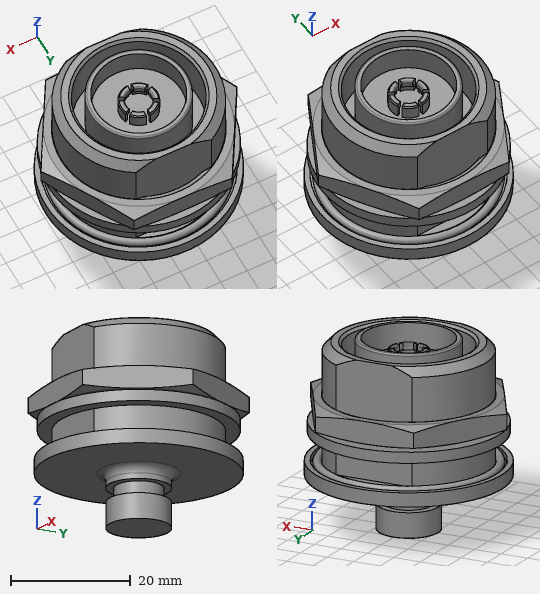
import cadquery as cq
import math


flange_diameter = 35.0
flange_height = 2.5
seal_groove_radius = 16.48
seal_groove_depth = 0.95
seal_ring_radius = 15.35
seal_tube_radius = 0.75
seal_projection = 0.45

barrel_radius = 14.52
barrel_top = 23.3
barrel_chamfer = 1.48
barrel_half_flats = 12.65
bore_radius = 11.27
bore_chamfer = 0.48
bore_floor = 15.15

sleeve_radius = 8.98
sleeve_top = 24.0
sleeve_bore_radius = 8.0
sleeve_floor = 19.62
sleeve_fillet = 0.3

contact_radius = 3.5
contact_top = 22.17
contact_bore_radius = 2.95
contact_lip_radius = 2.4
contact_lip_bottom = 21.05
contact_lip_fillet = 0.22
contact_chamfer = 0.22
slot_width = 0.75
slot_count = 3

stem_radius = 5.5
stem_fillet = 1.5
stem_length = 9.5
stem_groove_radius = 4.2
stem_groove_top = -2.5
stem_groove_bottom = -5.0

washer_radius = 17.0
washer_bottom = 7.55
washer_height = 1.95

nut_corners = 36.95
nut_bottom = 10.0
nut_height = 4.0
nut_bore_radius = 13.7
countersink_width = 0.92
countersink_depth = 0.5
nut_chamfer_angle = 15.0


def cylinder(radius, bottom, top):
    """Solid cylinder on the Z axis between two heights."""
    return cq.Workplane("XY").workplane(offset=bottom).circle(radius).extrude(top - bottom)


def revolve_about_z(profile):
    """Turn a profile drawn in the XZ plane once around the Z axis."""
    return profile.close().revolve(360, (0, 0, 0), (0, 1, 0))


def make_stem():
    """Rear stem with a groove and a filleted root under the flange."""
    root_radius = stem_radius + stem_fillet
    arc_offset = stem_fillet * math.sqrt(0.5)
    profile = (
        cq.Workplane("XZ")
        .moveTo(0, 0)
        .lineTo(root_radius, 0)
        .threePointArc(
            (root_radius - arc_offset, -stem_fillet + arc_offset),
            (stem_radius, -stem_fillet),
        )
        .lineTo(stem_radius, stem_groove_top)
        .lineTo(stem_groove_radius, stem_groove_top)
        .lineTo(stem_groove_radius, stem_groove_bottom)
        .lineTo(stem_radius, stem_groove_bottom)
        .lineTo(stem_radius, -stem_length)
        .lineTo(0, -stem_length)
    )
    return revolve_about_z(profile)


def make_flange():
    """Round flange with a groove around the barrel and a seal bead in the groove."""
    groove_floor = flange_height - seal_groove_depth
    groove = cylinder(seal_groove_radius, groove_floor, flange_height).cut(
        cylinder(barrel_radius, groove_floor, flange_height)
    )
    bead_height = flange_height + seal_projection - seal_tube_radius
    bead = (
        cq.Workplane("XZ")
        .center(seal_ring_radius, bead_height)
        .circle(seal_tube_radius)
        .revolve(360, (-seal_ring_radius, 0, 0), (-seal_ring_radius, 1, 0))
    )
    return cylinder(flange_diameter / 2, 0, flange_height).cut(groove).union(bead)


def make_barrel():
    """Chamfered hollow barrel with a flat on its -Y and +Y sides."""
    barrel = cylinder(barrel_radius, flange_height, barrel_top).faces(">Z").chamfer(barrel_chamfer)
    flats = cq.Workplane("XY").box(
        2 * barrel_radius, 2 * barrel_half_flats, barrel_top, centered=(True, True, False)
    )
    bore = cylinder(bore_radius, bore_floor, barrel_top)
    barrel = barrel.intersect(flats).cut(bore)
    return barrel.edges(cq.selectors.RadiusNthSelector(0)).edges(">Z").chamfer(bore_chamfer)


def make_sleeve():
    """Open sleeve standing on the floor of the barrel bore."""
    sleeve = cylinder(sleeve_radius, bore_floor, sleeve_top).faces(">Z").edges().fillet(sleeve_fillet)
    return sleeve.cut(cylinder(sleeve_bore_radius, sleeve_floor, sleeve_top))


def make_contact():
    """Tubular contact with an inner lip at its mouth, slotted across into fingers."""
    contact = cylinder(contact_radius, sleeve_floor, contact_top).faces(">Z").chamfer(contact_chamfer)
    contact = contact.cut(cylinder(contact_lip_radius, sleeve_floor, contact_top))
    contact = contact.faces(">Z").edges(cq.selectors.RadiusNthSelector(0)).fillet(contact_lip_fillet)
    contact = contact.cut(cylinder(contact_bore_radius, sleeve_floor, contact_lip_bottom))
    height = contact_top - sleeve_floor
    for index in range(slot_count):
        slot = (
            cq.Workplane("XY", origin=(0, 0, sleeve_floor))
            .box(slot_width, 2 * contact_radius, height, centered=(True, True, False))
            .rotate((0, 0, 0), (0, 0, 1), index * 180 / slot_count)
        )
        contact = contact.cut(slot)
    return contact


def make_washer():
    """Flat round washer fitting the barrel."""
    washer_top = washer_bottom + washer_height
    bore = cylinder(barrel_radius, washer_bottom, washer_top)
    return cylinder(washer_radius, washer_bottom, washer_top).cut(bore)


def make_nut():
    """Hex nut with chamfered corners and a bore countersunk at both ends."""
    nut_top = nut_bottom + nut_height
    corner_radius = nut_corners / 2
    flat_radius = corner_radius * math.cos(math.pi / 6)
    corner_drop = (corner_radius - flat_radius) * math.tan(math.radians(nut_chamfer_angle))
    mouth_radius = nut_bore_radius + countersink_width
    ring = revolve_about_z(
        cq.Workplane("XZ")
        .moveTo(mouth_radius, nut_bottom)
        .lineTo(flat_radius, nut_bottom)
        .lineTo(corner_radius, nut_bottom + corner_drop)
        .lineTo(corner_radius, nut_top - corner_drop)
        .lineTo(flat_radius, nut_top)
        .lineTo(mouth_radius, nut_top)
        .lineTo(nut_bore_radius, nut_top - countersink_depth)
        .lineTo(nut_bore_radius, nut_bottom + countersink_depth)
    )
    hexagon = cq.Workplane("XY", origin=(0, 0, nut_bottom)).polygon(6, nut_corners).extrude(nut_height)
    return hexagon.intersect(ring)


def make_connector(nut):
    """Connector in one piece, with a neck around the barrel where the nut sits."""
    connector = make_flange().union(make_stem()).union(make_barrel())
    connector = connector.union(make_sleeve()).union(make_contact())
    return connector.cut(nut)


nut = make_nut()
washer = make_washer()
connector = make_connector(nut)

result = cq.Compound.makeCompound([connector.val(), washer.val(), nut.val()])